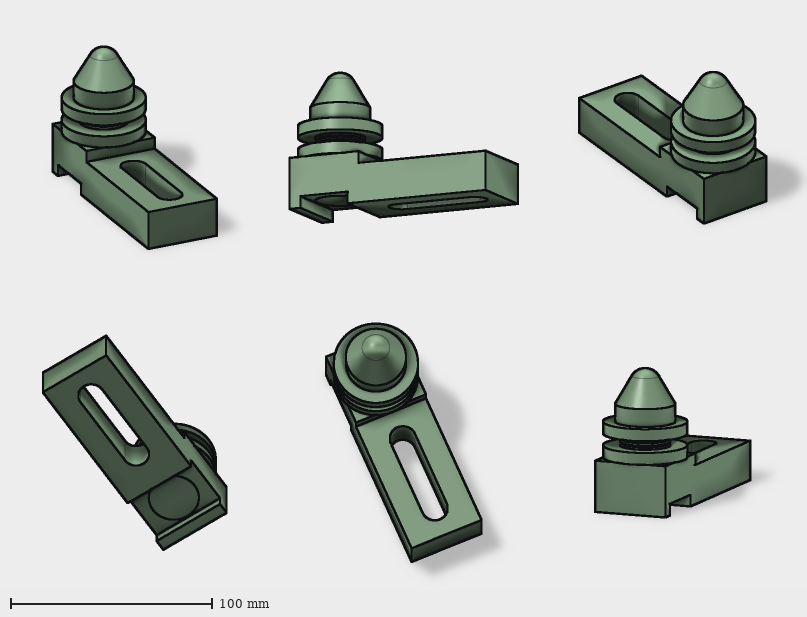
import cadquery as cq
import math


disc_diameter = 42.0
disc_thickness = 6.0

overall_length = 110.0
block_size = 38.0
block_height = 26.0
bar_height = 20.0
channel_width = 26.0
channel_depth = 5.9
slot_length = 53.0
slot_width = 13.0
slot_end_margin = 8.6

block_left = -block_size / 2
block_right = block_size / 2
bar_end = overall_length - disc_diameter / 2
boss_top = block_height + disc_thickness
slot_center_x = bar_end - slot_end_margin - slot_length / 2

flange_gap = 5.9
neck_diameter = 30.0
neck_length = 9.0
pin_top = 71.0
dome_radius = 7.9
cone_half_angle = math.radians(30)
thread_diameter = 25.0
thread_depth = 1.2
thread_count = 16

shank_bottom = channel_depth
flange_bottom = boss_top + flange_gap
flange_top = flange_bottom + disc_thickness
neck_top = flange_top + neck_length
crest_radius = thread_diameter / 2
root_radius = crest_radius - thread_depth
thread_pitch = (flange_bottom - shank_bottom) / thread_count

dome_center_z = pin_top - dome_radius
dome_edge_radius = dome_radius * math.cos(cone_half_angle)
dome_edge_z = dome_center_z + dome_radius * math.sin(cone_half_angle)
dome_middle_angle = (cone_half_angle + math.pi / 2) / 2
dome_middle = (
    dome_radius * math.cos(dome_middle_angle),
    dome_center_z + dome_radius * math.sin(dome_middle_angle),
)


def make_shank():
    """Shank with V-shaped thread ridges, from the channel roof up to the flange."""
    profile = cq.Workplane("XZ").moveTo(0, shank_bottom).lineTo(crest_radius, shank_bottom)
    for ridge in range(thread_count):
        ridge_z = shank_bottom + ridge * thread_pitch
        profile = profile.lineTo(root_radius, ridge_z + thread_pitch / 2)
        profile = profile.lineTo(crest_radius, ridge_z + thread_pitch)
    return profile.lineTo(0, flange_bottom).close().revolve(360, (0, 0), (0, 1))


def make_pin():
    """Locating pin: flange, neck and round-nosed cone on top of the threaded shank."""
    head = (
        cq.Workplane("XZ")
        .moveTo(0, flange_bottom)
        .lineTo(disc_diameter / 2, flange_bottom)
        .lineTo(disc_diameter / 2, flange_top)
        .lineTo(neck_diameter / 2, flange_top)
        .lineTo(neck_diameter / 2, neck_top)
        .lineTo(dome_edge_radius, dome_edge_z)
        .threePointArc(dome_middle, (0, pin_top))
        .close()
        .revolve(360, (0, 0), (0, 1))
    )
    return head.union(make_shank())


def make_base():
    """Stepped clamp bar with a round boss, a cross channel, a slot and a threaded hole."""
    bar_outline = [
        (block_left, 0),
        (-channel_width / 2, 0),
        (-channel_width / 2, channel_depth),
        (channel_width / 2, channel_depth),
        (channel_width / 2, 0),
        (bar_end, 0),
        (bar_end, bar_height),
        (block_right, bar_height),
        (block_right, block_height),
        (block_left, block_height),
    ]
    bar = cq.Workplane("XZ").polyline(bar_outline).close().extrude(block_size / 2, both=True)
    boss = (
        cq.Workplane("XY", origin=(0, 0, block_height))
        .circle(disc_diameter / 2)
        .extrude(disc_thickness)
    )
    slot = (
        cq.Workplane("XY", origin=(slot_center_x, 0, 0))
        .slot2D(slot_length, slot_width)
        .extrude(bar_height)
    )
    return bar.union(boss).cut(slot).cut(make_shank())


base = make_base()
locating_pin = make_pin()

result = cq.Compound.makeCompound([base.solids().val(), locating_pin.solids().val()])